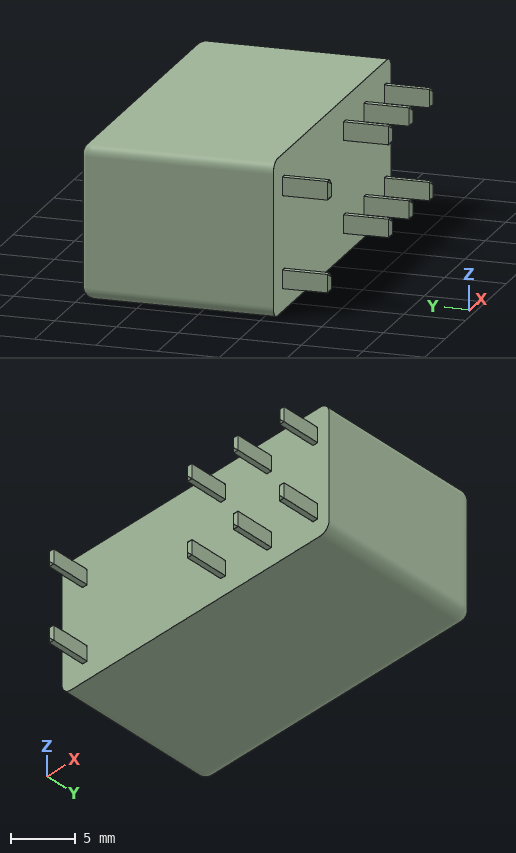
import cadquery as cq

body_length = 29.0
body_depth = 15.7
body_height = 12.7
corner_radius = 1.0

pin_thickness = 0.5
pin_width = 1.5
pin_length = 3.9
tip_flat = 0.002
tip_chamfer = (pin_thickness - tip_flat) / 2

pin_pitch = 5.0
row_spacing = 7.5
last_column_x = 13.0
column_steps = (0, 1, 2, 5)


def make_housing():
    """Box with its pin face on Y = 0, centred in X and Z."""
    box = cq.Workplane("XY").box(body_length, body_depth, body_height, centered=(True, False, True))
    return box.edges("|Y or >Y").fillet(corner_radius)


def make_pin(x, z):
    """Blade centred at (x, z), chamfered all round its free end."""
    blade = cq.Workplane("XY").box(pin_thickness, pin_length, pin_width)
    blade = blade.faces("<Y").chamfer(tip_chamfer)
    return blade.translate((x, -pin_length / 2, z))


result = make_housing()
for step in column_steps:
    for row_z in (-row_spacing / 2, row_spacing / 2):
        result = result.union(make_pin(last_column_x - step * pin_pitch, row_z))